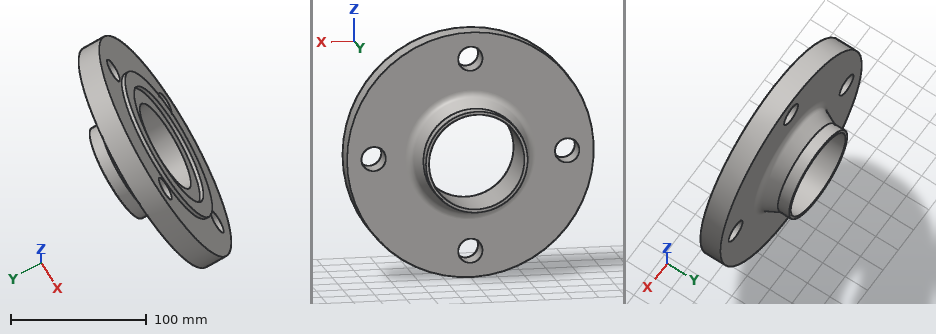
import cadquery as cq
import math

flange_diameter = 185.0
flange_thickness = 18.0
bore_diameter = 71.5

raised_face_diameter = 122.1
raised_face_height = 3.0
recess_diameter = 97.0
recess_depth = 3.0

total_length = 45.0
neck_end_diameter = 76.2
neck_end_length = 10.0
cone_base_diameter = 90.0
neck_fillet_radius = 6.0

bolt_count = 4
bolt_hole_diameter = 18.1
bolt_circle_diameter = 145.0

disc_front = raised_face_height
disc_back = disc_front + flange_thickness
cone_end = total_length - neck_end_length


def make_body():
    """Revolve the outer outline about the Y axis and round the foot of the neck."""
    body = (
        cq.Workplane("XY")
        .moveTo(0, 0)
        .lineTo(raised_face_diameter / 2, 0)
        .lineTo(raised_face_diameter / 2, disc_front)
        .lineTo(flange_diameter / 2, disc_front)
        .lineTo(flange_diameter / 2, disc_back)
        .lineTo(cone_base_diameter / 2, disc_back)
        .lineTo(neck_end_diameter / 2, cone_end)
        .lineTo(neck_end_diameter / 2, total_length)
        .lineTo(0, total_length)
        .close()
        .revolve(360, (0, 0, 0), (0, 1, 0))
    )
    cone_foot = cq.selectors.RadiusNthSelector(1)
    return body.faces("%CONE").edges("%CIRCLE").edges(cone_foot).fillet(neck_fillet_radius)


def cylinder_along_y(diameter, length, x=0, z=0):
    """Cylinder from the sealing face plane towards +Y."""
    axis_point = cq.Vector(x, 0, z)
    return cq.Workplane(cq.Solid.makeCylinder(diameter / 2, length, axis_point, cq.Vector(0, 1, 0)))


result = make_body()
result = result.cut(cylinder_along_y(recess_diameter, recess_depth))
result = result.cut(cylinder_along_y(bore_diameter, total_length))
for index in range(bolt_count):
    angle = 2 * math.pi * index / bolt_count
    hole_x = bolt_circle_diameter / 2 * math.cos(angle)
    hole_z = bolt_circle_diameter / 2 * math.sin(angle)
    result = result.cut(cylinder_along_y(bolt_hole_diameter, disc_back, hole_x, hole_z))